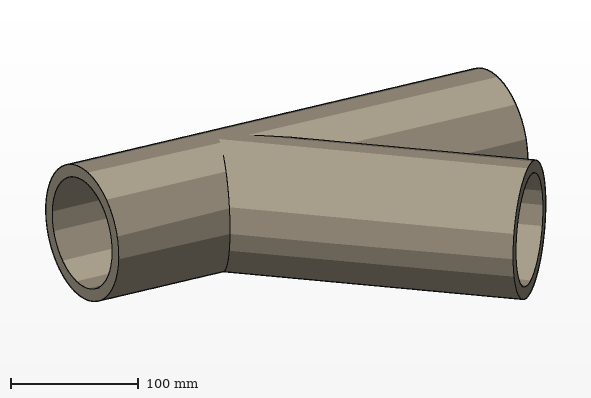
import cadquery as cq
import math

outer_diameter = 110.0
wall_thickness = 10.0
bore_diameter = outer_diameter - 2 * wall_thickness

inlet_length = 125.0
outlet_length = 251.0
branch_length = 251.0

branch_angle = 45.0

run_direction = cq.Vector(0, 1, 0)
branch_direction = cq.Vector(
    math.sin(math.radians(branch_angle)),
    math.cos(math.radians(branch_angle)),
    0,
)


def cylinder(diameter, start, length, direction):
    """Solid cylinder of the given diameter starting at a point."""
    return cq.Workplane(cq.Solid.makeCylinder(diameter / 2, length, start, direction))


def wye(diameter):
    """Run and branch cylinders of one diameter joined at the axis crossing."""
    axis_crossing = cq.Vector(0, 0, 0)
    inlet_end = run_direction * -inlet_length
    run = cylinder(diameter, inlet_end, inlet_length + outlet_length, run_direction)
    branch = cylinder(diameter, axis_crossing, branch_length, branch_direction)
    return run.union(branch)


result = wye(outer_diameter).cut(wye(bore_diameter))